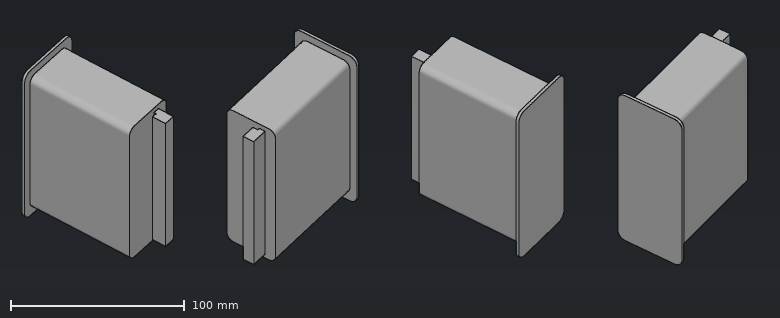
import cadquery as cq

flange_thickness = 2.0
flange_width = 45.0
flange_height = 115.0
flange_corner_radius = 5.5

body_end_x = 74.1
body_width = 35.0
body_height = 104.0
body_corner_radius = 5.0

overall_length = 85.0
strip_bottom_z = -49.0
strip_top_z = 48.5
strip_back_y = 10.0
strip_width = 7.6
neck_width = 4.1
neck_length = 1.5


def rounded_block(start_x, end_x, width, height, corner_radius):
    """Block centred on the X axis, with its four long edges rounded."""
    length = end_x - start_x
    block = cq.Workplane("XY").box(length, width, height, centered=(False, True, True))
    return block.edges("|X").fillet(corner_radius).translate((start_x, 0, 0))


def terminal_strip():
    """Stepped strip: a thin neck on the housing, widening toward -Y."""
    neck_end_x = body_end_x + neck_length
    neck_front_y = strip_back_y - neck_width
    strip_front_y = strip_back_y - strip_width
    profile = [
        (body_end_x, strip_back_y),
        (overall_length, strip_back_y),
        (overall_length, strip_front_y),
        (neck_end_x, strip_front_y),
        (neck_end_x, neck_front_y),
        (body_end_x, neck_front_y),
    ]
    strip = cq.Workplane("XY").polyline(profile).close().extrude(strip_top_z - strip_bottom_z)
    return strip.translate((0, 0, strip_bottom_z))


flange = rounded_block(0, flange_thickness, flange_width, flange_height, flange_corner_radius)
body = rounded_block(flange_thickness, body_end_x, body_width, body_height, body_corner_radius)
result = flange.union(body).union(terminal_strip())